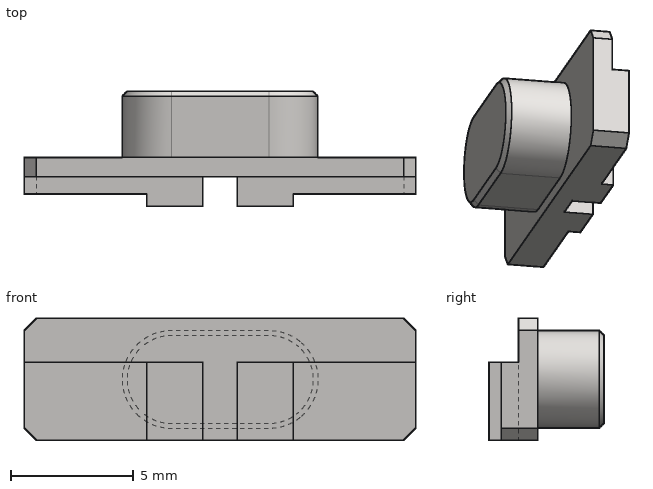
import cadquery as cq

length = 16.0
height = 5.0
plate_thickness = 0.8
corner_chamfer = 0.5

step_height = 3.2
step_depth = 0.7
slot_width = 1.4

pads_span = 6.0
pad_depth = 0.5

boss_length = 8.0
boss_height = 4.0
boss_depth = 2.7
boss_edge_chamfer = 0.2


def front_block(x_min, x_max, depth):
    """Block rising from the bottom edge to the step height, in front of the plate."""
    return cq.Workplane("XY").box(x_max - x_min, depth, step_height, centered=False).translate(
        (x_min, -depth, -height / 2)
    )


def make_body():
    """Plate with its split step and pads, chamfered together at the four corners."""
    body = cq.Workplane("XY").box(length, plate_thickness, height, centered=(True, False, True))
    for inner, step_end, pad_end in (
        (slot_width / 2, length / 2, pads_span / 2),
        (-slot_width / 2, -length / 2, -pads_span / 2),
    ):
        body = body.union(front_block(min(inner, step_end), max(inner, step_end), step_depth))
        body = body.union(front_block(min(inner, pad_end), max(inner, pad_end), step_depth + pad_depth))
    corner_edges = body.edges("|Y").edges("<X or >X").edges("<Z or >Z")
    return corner_edges.chamfer(corner_chamfer)


def make_boss():
    """Stadium-shaped boss with a chamfered rear rim."""
    boss = (
        cq.Workplane("XZ", origin=(0, plate_thickness, 0))
        .slot2D(boss_length, boss_height)
        .extrude(-boss_depth)
    )
    return boss.faces(">Y").edges().chamfer(boss_edge_chamfer)


result = make_body().union(make_boss())